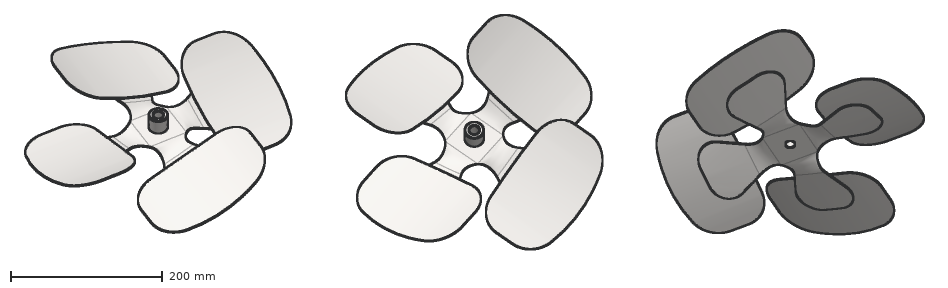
import cadquery as cq
import math

SHEET = 1.95
ARM_COUNT = 4

SEAT_RADIUS = 551.2
PITCH = math.radians(20)
SEAT_HEIGHT = -0.7

SQUARE_HALF = 27.5
NOTCH_RADIUS = 25.2
FLARE = math.radians(24)
ARM_END = 126.2
ARM_CORNER_RADIUS = 26.3
TWIST_END = 56.2
TWIST_STEPS = 4

TIP_RADIUS = 177.8
ROOT_RADIUS = 64.0
BLADE_HALF_WIDTH = 83.0
OUTER_SHOULDER = 159.3
INNER_SHOULDER = 69.7
OUTER_CORNER_RADIUS = 42.5
INNER_CORNER_RADIUS = 37.5

HUB_DIAMETER = 25.5
BORE_DIAMETER = 12.8
HUB_LENGTH = 22.8
HUB_CHAMFER = 1.0

NOTCH_CENTER = SQUARE_HALF + NOTCH_RADIUS / math.sqrt(2)
CURVE_CENTER_Y = -SEAT_RADIUS * math.sin(PITCH)
CURVE_CENTER_Z = SEAT_HEIGHT + SEAT_RADIUS * math.cos(PITCH)
PRISM_HALF_HEIGHT = 71.0
BLADE_MARGIN = 3.5


def curve_point(y, radius):
    """Point (y, z) on the arc of the given radius about the cylinder axis."""
    rise = math.sqrt(radius**2 - (y - CURVE_CENTER_Y) ** 2)
    return (y, CURVE_CENTER_Z - rise)


def curved_sheet(lower_radius, half_width, start, end):
    """Sheet curved across Y, running straight along X from start to end."""
    upper_radius = lower_radius - SHEET
    lower = [curve_point(y, lower_radius) for y in (-half_width, 0, half_width)]
    upper = [curve_point(y, upper_radius) for y in (half_width, 0, -half_width)]
    return (
        cq.Workplane("YZ", origin=(start, 0, 0))
        .moveTo(*lower[0])
        .threePointArc(lower[1], lower[2])
        .lineTo(*upper[0])
        .threePointArc(upper[1], upper[2])
        .close()
        .extrude(end - start)
    )


def around_axis(shape):
    """The shape repeated once for each arm."""
    return [shape.rotate((0, 0, 0), (0, 0, 1), 360 * i / ARM_COUNT) for i in range(ARM_COUNT)]


def twist_section(x, blend, half_width):
    """Section wire at x, between flat (blend 0) and the full curve (blend 1)."""

    def edge(radius, flat_height):
        points = []
        for y in (-half_width, 0, half_width):
            curve_height = curve_point(y, radius)[1]
            points.append(cq.Vector(x, y, flat_height + blend * (curve_height - flat_height)))
        if blend == 0:
            return cq.Edge.makeLine(points[0], points[2])
        return cq.Edge.makeThreePointArc(*points)

    lower = edge(SEAT_RADIUS + SHEET, 0)
    upper = edge(SEAT_RADIUS, SHEET)
    left_side = cq.Edge.makeLine(lower.endPoint(), upper.endPoint())
    right_side = cq.Edge.makeLine(upper.startPoint(), lower.startPoint())
    return cq.Wire.assembleEdges([lower, left_side, upper, right_side])


def twisted_sheet(half_width):
    """Sheet that turns smoothly from the flat square to the pitch of the arm."""
    sections = []
    for i in range(TWIST_STEPS + 1):
        t = i / TWIST_STEPS
        blend = t * t * (3 - 2 * t)
        x = SQUARE_HALF + t * (TWIST_END - SQUARE_HALF)
        sections.append(twist_section(x, blend, half_width))
    return cq.Workplane(cq.Solid.makeLoft(sections))


def notch_point(angle):
    """Point (x, y) of the +X +Y notch, at an angle outwards from the narrowest place of the +X arm."""
    return (
        NOTCH_CENTER + NOTCH_RADIUS * math.sin(angle),
        NOTCH_CENTER - NOTCH_RADIUS * math.cos(angle),
    )


def arm_prism():
    """Upright prism with the outline of the +X arm: notched at the root, flared to a rounded end."""
    flare_start = notch_point(FLARE)
    end_half_width = flare_start[1] + (ARM_END - flare_start[0]) * math.tan(FLARE)
    neck = notch_point(0)
    return (
        cq.Workplane("XY", origin=(0, 0, -PRISM_HALF_HEIGHT))
        .moveTo(SQUARE_HALF, SQUARE_HALF)
        .threePointArc(neck, flare_start)
        .lineTo(ARM_END, end_half_width)
        .lineTo(ARM_END, -end_half_width)
        .lineTo(flare_start[0], -flare_start[1])
        .threePointArc((neck[0], -neck[1]), (SQUARE_HALF, -SQUARE_HALF))
        .close()
        .extrude(2 * PRISM_HALF_HEIGHT)
        .edges("|Z")
        .edges(">X")
        .fillet(ARM_CORNER_RADIUS)
    )


def make_spider():
    """Flat square with four twisted arms and the bore through its middle."""
    half_width = NOTCH_CENTER
    prism = arm_prism()
    twisted = twisted_sheet(half_width).intersect(prism)
    arm_end = curved_sheet(SEAT_RADIUS + SHEET, half_width, TWIST_END, ARM_END).intersect(prism)
    spider = cq.Workplane("XY").box(
        2 * SQUARE_HALF, 2 * SQUARE_HALF, SHEET, centered=(True, True, False)
    )
    for piece in around_axis(twisted) + around_axis(arm_end):
        spider = spider.union(piece)
    bore = cq.Workplane("XY").circle(BORE_DIAMETER / 2).extrude(SHEET)
    return spider.cut(bore)


def blade_prism():
    """Upright prism with the outline of the +X blade: bowed ends and large rounded corners."""
    return (
        cq.Workplane("XY", origin=(0, 0, -PRISM_HALF_HEIGHT))
        .moveTo(INNER_SHOULDER, -BLADE_HALF_WIDTH)
        .lineTo(OUTER_SHOULDER, -BLADE_HALF_WIDTH)
        .threePointArc((TIP_RADIUS, 0), (OUTER_SHOULDER, BLADE_HALF_WIDTH))
        .lineTo(INNER_SHOULDER, BLADE_HALF_WIDTH)
        .threePointArc((ROOT_RADIUS, 0), (INNER_SHOULDER, -BLADE_HALF_WIDTH))
        .close()
        .extrude(2 * PRISM_HALF_HEIGHT)
        .edges("|Z")
        .edges(">X")
        .fillet(OUTER_CORNER_RADIUS)
        .edges("|Z")
        .edges("<X")
        .fillet(INNER_CORNER_RADIUS)
    )


def make_blade():
    """Blade along +X, lying on top of its arm."""
    sheet = curved_sheet(
        SEAT_RADIUS,
        BLADE_HALF_WIDTH + BLADE_MARGIN,
        ROOT_RADIUS - BLADE_MARGIN,
        TIP_RADIUS + BLADE_MARGIN,
    )
    return sheet.intersect(blade_prism())


def make_hub():
    """Tube standing on the flat square, chamfered at its upper rims."""
    return (
        cq.Workplane("XY", origin=(0, 0, SHEET))
        .circle(HUB_DIAMETER / 2)
        .circle(BORE_DIAMETER / 2)
        .extrude(HUB_LENGTH)
        .faces(">Z")
        .edges()
        .chamfer(HUB_CHAMFER)
    )


spider = make_spider()
hub = make_hub()
blades = around_axis(make_blade())

result = cq.Compound.makeCompound([spider.val(), hub.val(), *[blade.val() for blade in blades]])